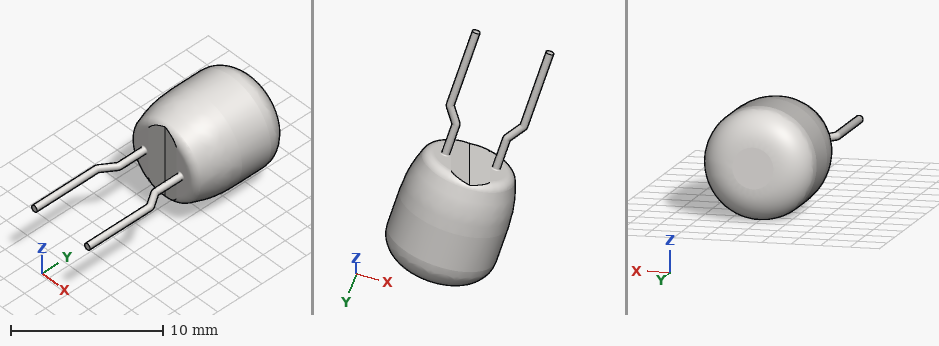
import cadquery as cq
import math

overall_length = 17.46

body_diameter = 7.6
body_radius = body_diameter / 2
body_height = 8.28
band_start = 3.61
band_end = 6.23
crown_flat_radius = 1.4
taper_start = 0.47
taper_radius = 3.23

groove_half_width = 1.35
groove_depth = 0.23

lead_diameter = 0.54
lead_radius = lead_diameter / 2
root_pitch = 3.5
tip_pitch = 5.08
lead_root_x = root_pitch / 2
lead_tip_x = tip_pitch / 2
lead_bottom = body_height - overall_length
bend_start = -2.23
bend_end = -3.6
bend_radius = 0.3
lead_embed = 0.87
meniscus = 0.09


def make_body():
    """Barrel: elliptical crown, straight band, arched taper and rounded rim."""
    taper_drop = body_radius - taper_radius
    taper_length = band_start - taper_start
    arc_radius = (taper_length**2 + taper_drop**2) / (2 * taper_drop)
    end_angle = math.asin(taper_length / arc_radius)
    taper_mid = (
        body_radius - arc_radius * (1 - math.cos(end_angle / 2)),
        band_start - arc_radius * math.sin(end_angle / 2),
    )

    rim_radius = taper_start / (1 - math.sin(end_angle))
    rim_center_x = taper_radius - rim_radius * math.cos(end_angle)
    rim_mid_angle = (end_angle + math.pi / 2) / 2
    rim_mid = (
        rim_center_x + rim_radius * math.cos(rim_mid_angle),
        rim_radius * (1 - math.sin(rim_mid_angle)),
    )

    crown_width = body_radius - crown_flat_radius
    crown_height = body_height - band_end
    profile = (
        cq.Workplane("XY")
        .lineTo(rim_center_x, 0)
        .threePointArc(rim_mid, (taper_radius, taper_start))
        .threePointArc(taper_mid, (body_radius, band_start))
        .lineTo(body_radius, band_end)
        .ellipseArc(crown_width, crown_height, 0, 90)
        .lineTo(0, body_height)
        .close()
    )
    return profile.revolve(360, (0, 0, 0), (0, 1, 0))


def make_groove():
    """V-shaped prism that spans the seating face along Z."""
    return (
        cq.Workplane("XY")
        .polyline([(-groove_half_width, 0), (0, groove_depth), (groove_half_width, 0)])
        .close()
        .extrude(body_radius, both=True)
    )


def bend_offset(turn):
    """Sideways and lengthwise travel along a bend after turning by an angle."""
    return bend_radius * (1 - math.cos(turn)), bend_radius * math.sin(turn)


def make_lead(side):
    """Round wire with an outward S-step; side is +1 or -1 along X."""
    step = lead_tip_x - lead_root_x
    drop = bend_start - bend_end
    slant_length = math.sqrt(drop**2 + (step - 2 * bend_radius) ** 2 - (2 * bend_radius) ** 2)
    angle = math.atan2(step - 2 * bend_radius, drop) + math.atan2(2 * bend_radius, slant_length)

    half_dx, half_dy = bend_offset(angle / 2)
    full_dx, full_dy = bend_offset(angle)
    path = (
        cq.Workplane("XY")
        .moveTo(side * lead_root_x, lead_embed)
        .lineTo(side * lead_root_x, bend_start)
        .threePointArc(
            (side * (lead_root_x + half_dx), bend_start - half_dy),
            (side * (lead_root_x + full_dx), bend_start - full_dy),
        )
        .lineTo(side * (lead_tip_x - full_dx), bend_end + full_dy)
        .threePointArc(
            (side * (lead_tip_x - half_dx), bend_end + half_dy),
            (side * lead_tip_x, bend_end),
        )
        .lineTo(side * lead_tip_x, lead_bottom)
    )
    return (
        cq.Workplane("XZ", origin=(side * lead_root_x, lead_embed, 0))
        .circle(lead_radius)
        .sweep(path)
    )


def make_collar(side):
    """Small ring with a concave fillet around the root of a lead."""
    mid = meniscus * (1 - math.sqrt(0.5))
    return (
        cq.Workplane("XY", origin=(side * lead_root_x, 0, 0))
        .moveTo(0, meniscus)
        .lineTo(lead_radius + meniscus, meniscus)
        .lineTo(lead_radius + meniscus, 0)
        .threePointArc((lead_radius + mid, -mid), (lead_radius, -meniscus))
        .lineTo(0, -meniscus)
        .close()
        .revolve(360, (0, 0, 0), (0, 1, 0))
    )


result = make_body().cut(make_groove())
for side in (-1, 1):
    result = result.union(make_lead(side)).union(make_collar(side))